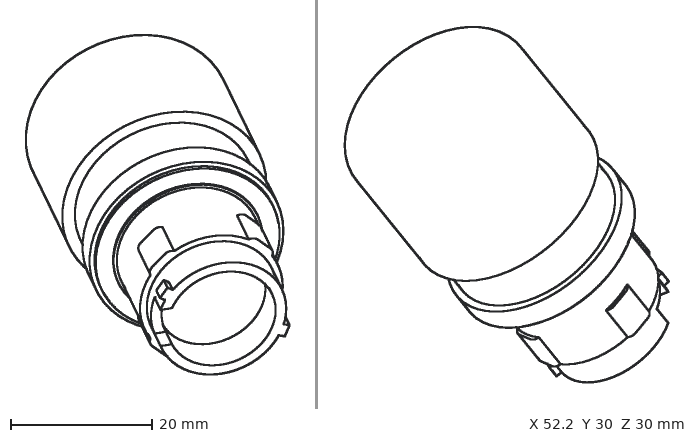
import cadquery as cq
import math

total_length = 52.2

cap_radius = 15.01
cap_end = 21.55
cap_fillet = 2.3
neck_radius = 13.15
collar_start = 29.65
collar_radius = 14.25
gasket_start = 33.4
gasket_radius = 13.5
washer_start = 34.05
washer_radius = 10.95
barrel_start = 34.3
barrel_radius = 10.5
tail_start = 46.7
tail_radius = 9.5

bore_radius = 7.95

notch_width = 6.2
notch_depth = 3.25

key_start = 40.5
key_height = 10.95
key_width = 4.95
key_flat_width = 2.65
key_shoulder_height = 10.15
key_angles = [45, 135, 225, 315]

lug_length = 2.0
lug_height = 10.4
lug_width = 1.95
lug_angles = [145, -22]

root_height = 8.9


def disc(start, end, radius):
    """Solid cylinder along X between two stations."""
    return cq.Workplane("YZ").workplane(offset=start).circle(radius).extrude(end - start)


def make_body():
    body = disc(0, cap_end, cap_radius).faces("<X").edges().fillet(cap_fillet)
    sections = [
        (cap_end, collar_start, neck_radius),
        (collar_start, gasket_start, collar_radius),
        (gasket_start, washer_start, gasket_radius),
        (washer_start, barrel_start, washer_radius),
        (barrel_start, tail_start, barrel_radius),
        (tail_start, total_length, tail_radius),
    ]
    for start, end, radius in sections:
        body = body.union(disc(start, end, radius))
    return body


def make_key():
    """Key pointing along +Y, flat on top with rounded shoulders."""
    half_flat = key_flat_width / 2
    half_width = key_width / 2
    drop = key_height - key_shoulder_height
    run = half_width - half_flat
    shoulder_radius = (run**2 + drop**2) / (2 * drop)
    half_sweep = math.atan2(drop, run)
    mid_height = key_height - shoulder_radius * (1 - math.cos(half_sweep))
    mid_width = half_flat + shoulder_radius * math.sin(half_sweep)
    return (
        cq.Workplane("YZ")
        .workplane(offset=key_start)
        .moveTo(root_height, -half_width)
        .lineTo(key_shoulder_height, -half_width)
        .threePointArc((mid_height, -mid_width), (key_height, -half_flat))
        .lineTo(key_height, half_flat)
        .threePointArc((mid_height, mid_width), (key_shoulder_height, half_width))
        .lineTo(root_height, half_width)
        .close()
        .extrude(tail_start - key_start)
    )


def make_lug():
    """Rectangular lug pointing along +Y."""
    return (
        cq.Workplane("YZ")
        .workplane(offset=total_length - lug_length)
        .center((root_height + lug_height) / 2, 0)
        .rect(lug_height - root_height, lug_width)
        .extrude(lug_length)
    )


def place_around(shape, angles):
    """Copies of a +Y feature turned about X, angles measured from +Y to +Z."""
    return [shape.rotate((0, 0, 0), (1, 0, 0), angle) for angle in angles]


def make_notch():
    return cq.Workplane("XY").box(
        notch_depth, tail_radius, notch_width, centered=(False, False, True)
    ).translate((total_length - notch_depth, -tail_radius, 0))


result = make_body()
raised_features = place_around(make_key(), key_angles) + place_around(make_lug(), lug_angles)
for feature in raised_features:
    result = result.union(feature)
result = result.cut(disc(tail_start, total_length, bore_radius))
result = result.cut(make_notch())